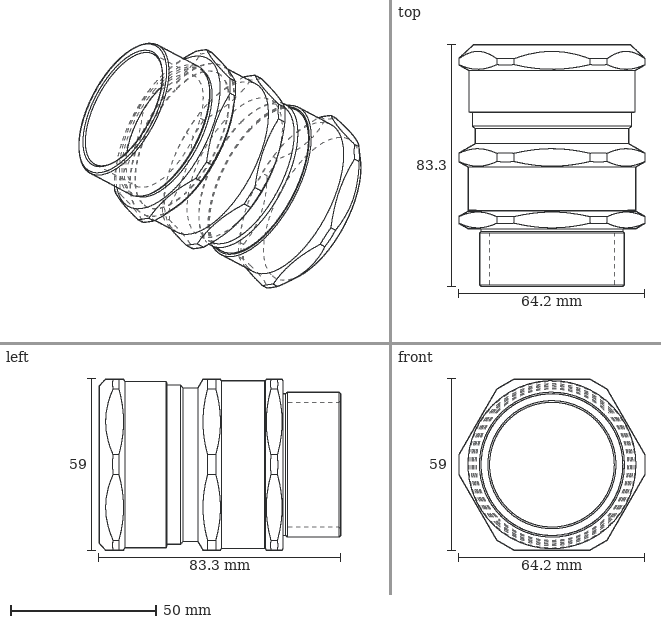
import cadquery as cq
import math

total_length = 83.3
across_flats = 59.0
corner_flats = 64.15
nut_chamfer = math.radians(30)

thread_radius = 50.0 / 2
thread_chamfer = 0.6
thread_end = 18.4
relief_radius = 49.0 / 2
relief_start = 19.0

bore_radius = 43.0 / 2
bore_chamfer = 0.6
bore_depth = 18.4

nut_face_radius = 57.9 / 2
entry_nut_start = 19.9
entry_nut_end = 26.0
gap_radius = 52.2 / 2
gap_width = 0.25

body_radius = nut_face_radius
body_nut_start = 41.2
body_nut_end = 49.25

neck_radius = 53.0 / 2
collar_radius = 55.0 / 2
collar_chamfer_start = 54.4
collar_start = 55.2

cap_radius = 57.4 / 2
cap_start = 59.9
cap_lip_radius = 55.9 / 2
cap_lip_height = 0.25
cap_nut_start = 74.4
cap_end_radius = 54.15 / 2
cap_end_chamfer = math.radians(43)


def turned(points):
    """Revolve an outline of (radius, Y) points about the Y axis."""
    return cq.Workplane("XY").polyline(points).close().revolve(360, (0, 0, 0), (0, 1, 0))


def hex_prism(flats, start, length, turn):
    """Hexagonal prism along +Y; turn 0 puts its corners on the X axis."""
    return (
        cq.Workplane("XZ", origin=(0, start, 0))
        .polygon(6, flats / math.cos(math.pi / 6))
        .extrude(-length)
        .rotate((0, 0, 0), (0, 1, 0), turn)
    )


def nut(start, end, start_radius, end_radius, end_angle):
    """Hexagon with blunted corners and a conical chamfer on both ends."""
    length = end - start
    start_slope = math.tan(nut_chamfer)
    end_slope = math.tan(end_angle)
    rise = length + end_slope * end_radius + start_slope * start_radius
    apex_radius = rise / (start_slope + end_slope)
    apex = start + start_slope * (apex_radius - start_radius)
    cones = turned([(0, start), (start_radius, start), (apex_radius, apex), (end_radius, end), (0, end)])
    hexagon = hex_prism(across_flats, start, length, 0)
    blunting = hex_prism(corner_flats, start, length, 30)
    return hexagon.intersect(blunting).intersect(cones)


core = turned([
    (0, 0),
    (thread_radius - thread_chamfer, 0),
    (thread_radius, thread_chamfer),
    (thread_radius, thread_end),
    (relief_radius, relief_start),
    (relief_radius, entry_nut_start),
    (gap_radius, entry_nut_start),
    (gap_radius, entry_nut_end + gap_width),
    (body_radius, entry_nut_end + gap_width),
    (body_radius, body_nut_start),
    (neck_radius, body_nut_start),
    (neck_radius, collar_chamfer_start),
    (collar_radius, collar_start),
    (collar_radius, cap_start),
    (cap_lip_radius, cap_start),
    (cap_radius, cap_start + cap_lip_height),
    (cap_radius, cap_nut_start),
    (cap_end_radius, cap_nut_start),
    (cap_end_radius, total_length),
    (0, total_length),
])

entry_nut = nut(entry_nut_start, entry_nut_end, nut_face_radius, nut_face_radius, nut_chamfer)
body_nut = nut(body_nut_start, body_nut_end, nut_face_radius, neck_radius, nut_chamfer)
cap_nut = nut(cap_nut_start, total_length, cap_radius, cap_end_radius, cap_end_chamfer)

bore = turned([
    (0, 0),
    (bore_radius + bore_chamfer, 0),
    (bore_radius, bore_chamfer),
    (bore_radius, bore_depth),
    (0, bore_depth),
])

result = core.union(entry_nut).union(body_nut).union(cap_nut).cut(bore)